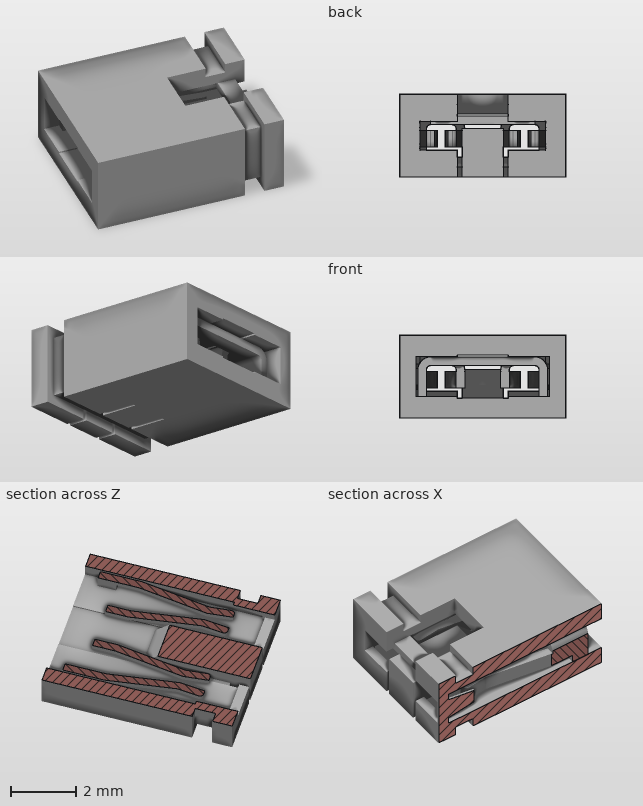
import cadquery as cq
import math

length = 6.1
half_length = length / 2
width = 5.08
height = 2.54
rear = half_length
front = -half_length

groove_width = 0.64
groove_depth = 0.32
groove_rear = rear - groove_width
groove_front = groove_rear - groove_width
neck_width = width - 2 * groove_depth
neck_height = height - 2 * groove_depth

cavity_width = 4.075
cavity_height = 1.22
channel_width = 1.55
channel_height = 1.31
channel_floor = -channel_height / 2
lip_front = 2.74
opening_width = 3.855
opening_height = 0.88

slot_length = 2.55
slot_front = rear - slot_length
tongue_width = 1.27
tongue_top = 0.225
ramp_angle = 45.0

rib_rear = 2.665
rib_length = 0.96
rib_front_height = 0.5
rib_rear_height = 0.785
rib_width = (cavity_width - opening_width) / 2

sheet = 0.27
bend_inner = 0.13
bend_outer = bend_inner + sheet
pin_x = 1.27
pin_space = 0.9
pin_gap = 0.24
roof_clearance = 0.005
roof_top = cavity_height / 2 - roof_clearance
contact_front = -2.555
front_strip = 0.6
window_front = contact_front + front_strip
leg_rear = -1.22
leg_bottom = -0.355
arm_top = 0.16
arm_apex = 1.04
arm_rear = 1.855
arm_tip_setback = 0.085
arm_tip_radius = 0.12
bridge_front = 2.165
bridge_rear = lip_front

outer_leg_x = pin_x + pin_space / 2
inner_leg_x = pin_x - pin_space / 2
bend_start = outer_leg_x + sheet - bend_outer
window_half = inner_leg_x - sheet + bend_outer


def block(x_range, y_range, z_range):
    """Box between two values on each axis."""
    sizes = [high - low for low, high in (x_range, y_range, z_range)]
    corner = (x_range[0], y_range[0], z_range[0])
    return cq.Workplane("XY").box(*sizes, centered=False).translate(corner)


def centered_block(x_size, y_range, z_size):
    """Box centred on the Y axis."""
    return block((-x_size / 2, x_size / 2), y_range, (-z_size / 2, z_size / 2))


def both_sides(body):
    """The body together with its mirror image in the YZ plane."""
    return body.union(body.mirror("YZ"))


def grooved_block():
    body = centered_block(width, (front, groove_front), height)
    body = body.union(centered_block(neck_width, (groove_front, groove_rear), neck_height))
    return body.union(centered_block(width, (groove_rear, rear), height))


def cavity():
    pocket = centered_block(cavity_width, (front, lip_front), cavity_height)
    rear_opening = centered_block(opening_width, (lip_front, rear), opening_height)
    channel = centered_block(channel_width, (front, rear), channel_height)
    return pocket.union(rear_opening).union(channel)


def slot():
    """Top slot through to the rear, and clearance under it that leaves the neck whole."""
    half = channel_width / 2
    cut = block((-half, half), (slot_front, rear), (channel_floor, height / 2))
    for y_range in ((slot_front, groove_front), (groove_rear, rear)):
        cut = cut.union(block((-half, half), y_range, (-height / 2, channel_floor)))
    return cut


def tongue():
    """Latch tongue in the slot, with a ramp at its front, standing on the floor."""
    ramp_length = (tongue_top - channel_floor) / math.tan(math.radians(ramp_angle))
    outline = [
        (slot_front - ramp_length, channel_floor),
        (slot_front, tongue_top),
        (rear, tongue_top),
        (rear, -height / 2),
        (groove_rear, -height / 2),
        (groove_rear, -neck_height / 2),
        (groove_front, -neck_height / 2),
        (groove_front, -height / 2),
        (slot_front, -height / 2),
        (slot_front, channel_floor),
    ]
    return cq.Workplane("YZ").polyline(outline).close().extrude(tongue_width / 2, both=True)


def side_ribs():
    """Ribs on the cavity side walls, running back into full-height shoulders."""
    rib_front = rib_rear - rib_length
    outline = [
        (rib_front, -rib_front_height / 2),
        (rib_front, rib_front_height / 2),
        (rib_rear, rib_rear_height / 2),
        (rib_rear, -rib_rear_height / 2),
    ]
    x_range = (opening_width / 2, cavity_width / 2)
    rib = cq.Workplane("YZ").polyline(outline).close().extrude(rib_width).translate((x_range[0], 0, 0))
    shoulder = block(x_range, (rib_rear, lip_front), (-cavity_height / 2, cavity_height / 2))
    return both_sides(rib.union(shoulder))


def make_housing():
    body = grooved_block().cut(cavity()).cut(slot())
    return body.union(tongue()).union(side_ribs())


def roof():
    """Flat roof with a window between a front strip and the rear bridge."""
    z_range = (roof_top - sheet, roof_top)
    plate = block((-bend_start, bend_start), (contact_front, bridge_rear), z_range)
    window = block((-window_half, window_half), (window_front, bridge_front), z_range)
    return plate.cut(window)


def leg(pin_face, side, y_range, bottom):
    """Leg bent down from the roof; side is +1 when its metal lies at greater X than its pin face."""
    far_face = pin_face + side * sheet
    center_x = pin_face - side * bend_inner
    center_z = roof_top - bend_outer
    lean = math.sin(math.radians(45))
    profile = (
        cq.Workplane("XZ")
        .moveTo(center_x, roof_top)
        .threePointArc(
            (center_x + side * bend_outer * lean, center_z + bend_outer * lean),
            (far_face, center_z),
        )
        .lineTo(far_face, bottom)
        .lineTo(pin_face, bottom)
        .lineTo(pin_face, center_z)
        .threePointArc(
            (center_x + side * bend_inner * lean, center_z + bend_inner * lean),
            (center_x, roof_top - sheet),
        )
        .close()
    )
    return profile.extrude(y_range[0] - y_range[1]).translate((0, y_range[0], 0))


def arm(pin_face, side):
    """Spring arm running back from a leg, leaning toward the pin and opening at its tip."""
    far_face = pin_face + side * sheet
    reach = side * (pin_space - pin_gap) / 2
    tip_reach = reach - side * arm_tip_setback
    outline = [
        (pin_face, leg_rear),
        (pin_face - reach, arm_apex),
        (pin_face - tip_reach, arm_rear),
        (far_face - tip_reach, arm_rear),
        (far_face - reach, arm_apex),
        (far_face, leg_rear),
    ]
    strip = cq.Workplane("XY").workplane(offset=leg_bottom).polyline(outline).close()
    strip = strip.extrude(arm_top - leg_bottom)
    tip_corner = cq.selectors.NearestToPointSelector(
        (far_face - tip_reach, arm_rear, (arm_top + leg_bottom) / 2)
    )
    return strip.edges(tip_corner).fillet(arm_tip_radius)


def make_contact():
    foot = leg(outer_leg_x, 1, (contact_front, window_front), -cavity_height / 2)
    outer_leg = leg(outer_leg_x, 1, (window_front, leg_rear), leg_bottom)
    inner_leg = leg(inner_leg_x, -1, (window_front, leg_rear), leg_bottom)
    half = foot.union(outer_leg).union(inner_leg)
    for pin_face, side in ((outer_leg_x, 1), (inner_leg_x, -1)):
        half = half.union(arm(pin_face, side))
    return roof().union(half).union(half.mirror("YZ"))


housing = make_housing()
contact = make_contact()
result = cq.Compound.makeCompound([housing.solids().val(), contact.solids().val()])